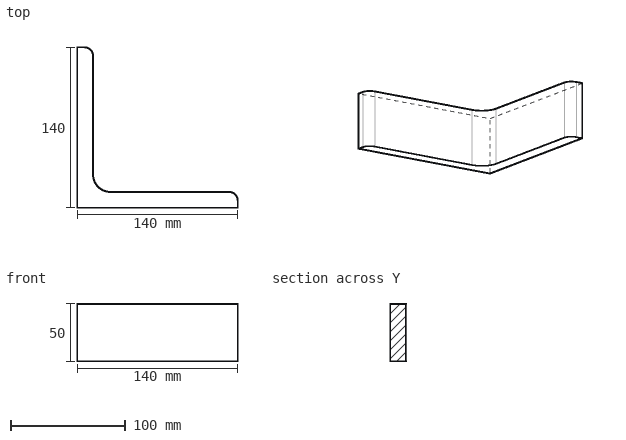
import cadquery as cq

leg_length = 140.0
leg_thickness = 14.0
section_length = 50.0
root_radius = 15.0
toe_radius = root_radius / 2


def angle_profile():
    """L-shaped outline with its heel at the origin and sharp corners."""
    return (
        cq.Workplane("XY")
        .moveTo(0, 0)
        .lineTo(leg_length, 0)
        .lineTo(leg_length, leg_thickness)
        .lineTo(leg_thickness, leg_thickness)
        .lineTo(leg_thickness, leg_length)
        .lineTo(0, leg_length)
        .close()
    )


def round_upright_edge(body, x, y, radius):
    """Fillet the edge parallel to Z that passes nearest to (x, y)."""
    edge_middle = (x, y, section_length / 2)
    return body.edges(cq.selectors.NearestToPointSelector(edge_middle)).fillet(radius)


angle = angle_profile().extrude(section_length)

angle = round_upright_edge(angle, leg_thickness, leg_thickness, root_radius)

for toe_x, toe_y in [(leg_length, leg_thickness), (leg_thickness, leg_length)]:
    angle = round_upright_edge(angle, toe_x, toe_y, toe_radius)

result = angle